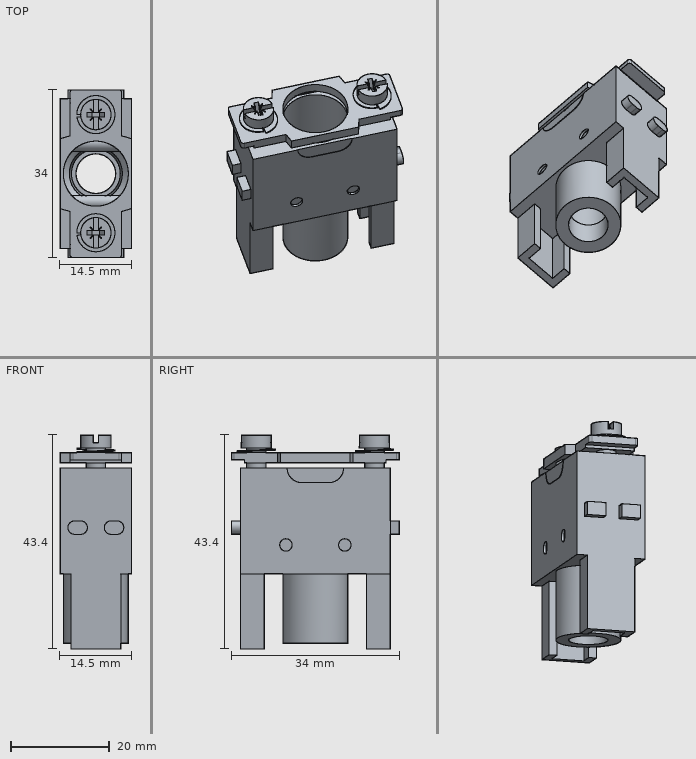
import cadquery as cq
import math

SLEEVE_BOTTOM = 1.15
BLOCK_BOTTOM = 15.25
BLOCK_TOP = 36.7
PLATE_BOTTOM = 37.7
PLATE_END_BOTTOM = 38.3
PLATE_TOP = 39.8
HEAD_BOTTOM = 40.7
HEAD_TOP = 43.35

BLOCK_X = 14.5
BLOCK_Y = 30.35
LEG_X = 10.1
LEG_Y = 4.85
LEG_GROOVE_X = 6.75
LEG_GROOVE_DEPTH = 3.3

BORE_RADIUS = 6.6
CONE_END_RADIUS = 5.38
TAPER_END_RADIUS = 4.95
OUTLET_RADIUS = 4.0
TAPER_DEPTH = 10.85

OVERALL_Y = 34.0
LUG_X = 3.95
LUG_Z = 2.75
LUG_SPACING = 7.35
LUG_HEIGHT = 24.62

RECESS_RADIUS = 3.0
RECESS_WIDTH = 11.45
RECESS_DEPTH = 0.1

PIN_RADIUS = 1.5
PIN_END_WALL = 0.5
PIN_HOLE_RADIUS = 1.25
PIN_SPACING = 11.9
PIN_HEIGHT = 21.1

PLATE_X = BLOCK_X
TONGUE_X = 10.4
SHOULDER_OUTER_Y = 7.05
SHOULDER_INNER_Y = 7.67
STEP_Y = 14.35
TONGUE_CORNER_RADIUS = 0.55

SCREW_SPACING = 23.95
SHANK_RADIUS = 2.0
SHANK_DEPTH = 8.65
HEAD_RADIUS = 3.08
SLOT_WIDTH = 1.05
SLOT_DEPTH = 1.5
CROSS_WIDTH = 0.9
CROSS_TOP_LENGTH = 3.5
CROSS_FLOOR_LENGTH = 1.55
CROSS_DEPTH = 2.12
FIN_WIDTH = 0.15
FIN_REACH = 1.6
FIN_DEPTH = 1.75

WASHER_INNER_RADIUS = 2.05
WASHER_OUTER_RADIUS = 3.85
WASHER_THICKNESS = 0.2
WASHER_RISE = HEAD_BOTTOM - PLATE_TOP - WASHER_THICKNESS
WASHER_GAP_ANGLE = 8.0

SCREW_PLACES = [-SCREW_SPACING / 2, SCREW_SPACING / 2]
PIN_PLACES = [-PIN_SPACING / 2, PIN_SPACING / 2]


def box(x_size, y_size, z_low, z_high):
    """Box centred on the Z axis between two heights."""
    return cq.Workplane("XY", origin=(0, 0, z_low)).rect(x_size, y_size).extrude(z_high - z_low)


def cylinder(radius, z_low, z_high, y=0.0):
    """Upright cylinder between two heights."""
    return cq.Workplane("XY", origin=(0, y, z_low)).circle(radius).extrude(z_high - z_low)


def cross_rod(radius, length, y):
    """Rod along X at the height of the cross pins."""
    return cq.Workplane("YZ", origin=(-length / 2, y, PIN_HEIGHT)).circle(radius).extrude(length)


def make_leg():
    """Leg at the +Y end, with a groove up its inner side."""
    outer_y = BLOCK_Y / 2
    inner_y = outer_y - LEG_Y
    leg = box(LEG_X, LEG_Y, 0, BLOCK_BOTTOM).translate((0, outer_y - LEG_Y / 2, 0))
    groove = box(LEG_GROOVE_X, LEG_GROOVE_DEPTH, 0, BLOCK_BOTTOM)
    return leg.cut(groove.translate((0, inner_y + LEG_GROOVE_DEPTH / 2, 0)))


def make_bore():
    """Bore: plain below the plate, conical under the pins, tapered, then a narrow outlet."""
    cone_top = PIN_HEIGHT - PIN_RADIUS
    cone_bottom = cone_top - (BORE_RADIUS - CONE_END_RADIUS)
    floor = cone_bottom - TAPER_DEPTH
    profile = [
        (0, SLEEVE_BOTTOM),
        (OUTLET_RADIUS, SLEEVE_BOTTOM),
        (OUTLET_RADIUS, floor),
        (TAPER_END_RADIUS, floor),
        (CONE_END_RADIUS, cone_bottom),
        (BORE_RADIUS, cone_top),
        (BORE_RADIUS, BLOCK_TOP),
        (0, BLOCK_TOP),
    ]
    return cq.Workplane("XZ").polyline(profile).close().revolve(360, (0, 0), (0, 1))


def make_lugs():
    """Two rounded lugs on the -Y face and two square lugs on the +Y face."""
    length = (OVERALL_Y - BLOCK_Y) / 2
    centres = [(-LUG_SPACING / 2, 0), (LUG_SPACING / 2, 0)]
    rounded_face = cq.Workplane("XZ", origin=(0, -BLOCK_Y / 2, LUG_HEIGHT))
    rounded = rounded_face.pushPoints(centres).slot2D(LUG_X, LUG_Z).extrude(length)
    square_face = cq.Workplane("XZ", origin=(0, BLOCK_Y / 2, LUG_HEIGHT))
    square = square_face.pushPoints(centres).rect(LUG_X, LUG_Z).extrude(-length)
    return rounded.add(square)


def make_face_recess():
    """Shallow recess on the -X face, open at the top, with quarter-round lower corners."""
    half_width = RECESS_WIDTH / 2
    half_floor = half_width - RECESS_RADIUS
    diagonal = RECESS_RADIUS * math.sqrt(0.5)
    return (
        cq.Workplane("YZ", origin=(-BLOCK_X / 2, 0, BLOCK_TOP))
        .moveTo(-half_width, 0)
        .threePointArc((-half_floor - diagonal, -diagonal), (-half_floor, -RECESS_RADIUS))
        .lineTo(half_floor, -RECESS_RADIUS)
        .threePointArc((half_floor + diagonal, -diagonal), (half_width, 0))
        .close()
        .extrude(RECESS_DEPTH)
    )


def make_housing():
    """Block with sleeve, legs and lugs, bored for the contact, the pins and the screws."""
    housing = box(BLOCK_X, BLOCK_Y, BLOCK_BOTTOM, BLOCK_TOP)
    housing = housing.union(cylinder(BORE_RADIUS, SLEEVE_BOTTOM, BLOCK_BOTTOM))
    leg = make_leg()
    housing = housing.union(leg).union(leg.mirror("XZ"))
    for lug in make_lugs().vals():
        housing = housing.union(cq.Workplane(lug))
    housing = housing.cut(make_bore())
    recess = make_face_recess()
    housing = housing.cut(recess).cut(recess.mirror("YZ"))
    for y in PIN_PLACES:
        housing = housing.cut(cross_rod(PIN_RADIUS, BLOCK_X - 2 * PIN_END_WALL, y))
        housing = housing.cut(cross_rod(PIN_HOLE_RADIUS, BLOCK_X, y))
    for y in SCREW_PLACES:
        housing = housing.cut(cylinder(SHANK_RADIUS, BLOCK_TOP - SHANK_DEPTH, BLOCK_TOP, y))
    return housing


def make_pin(y):
    """Plain cross pin filling its bore between the two end walls."""
    return cross_rod(PIN_RADIUS, BLOCK_X - 2 * PIN_END_WALL, y)


def make_plate():
    """Cover plate with a tongue at each end, a central opening and two screw holes."""
    thickness = PLATE_TOP - PLATE_BOTTOM
    outline = [
        (-PLATE_X / 2, -SHOULDER_OUTER_Y),
        (-TONGUE_X / 2, -SHOULDER_INNER_Y),
        (TONGUE_X / 2, -SHOULDER_INNER_Y),
        (PLATE_X / 2, -SHOULDER_OUTER_Y),
        (PLATE_X / 2, SHOULDER_OUTER_Y),
        (TONGUE_X / 2, SHOULDER_INNER_Y),
        (-TONGUE_X / 2, SHOULDER_INNER_Y),
        (-PLATE_X / 2, SHOULDER_OUTER_Y),
    ]
    middle = cq.Workplane("XY", origin=(0, 0, PLATE_BOTTOM))
    middle = middle.polyline(outline).close().extrude(thickness)
    tongue = box(TONGUE_X, OVERALL_Y, PLATE_END_BOTTOM, PLATE_TOP)
    tongue = tongue.edges("|Z").fillet(TONGUE_CORNER_RADIUS)
    thick_tongue = box(TONGUE_X, 2 * STEP_Y, PLATE_BOTTOM, PLATE_TOP)
    plate = middle.union(thick_tongue).union(tongue)
    plate = plate.cut(cylinder(BORE_RADIUS, PLATE_BOTTOM, PLATE_TOP))
    for y in SCREW_PLACES:
        plate = plate.cut(cylinder(SHANK_RADIUS, PLATE_BOTTOM, PLATE_TOP, y))
    return plate


def make_cross_recess():
    """Recess along X with sloping ends, crossing the driver slot."""
    profile = [
        (-CROSS_TOP_LENGTH / 2, HEAD_TOP),
        (-CROSS_FLOOR_LENGTH / 2, HEAD_TOP - CROSS_DEPTH),
        (CROSS_FLOOR_LENGTH / 2, HEAD_TOP - CROSS_DEPTH),
        (CROSS_TOP_LENGTH / 2, HEAD_TOP),
    ]
    return cq.Workplane("XZ").polyline(profile).close().extrude(CROSS_WIDTH / 2, both=True)


def make_fin_cut(angle):
    """Thin diagonal notch, deepest at the screw axis."""
    profile = [(-FIN_REACH, HEAD_TOP), (0, HEAD_TOP - FIN_DEPTH), (FIN_REACH, HEAD_TOP)]
    fin = cq.Workplane("XZ").polyline(profile).close().extrude(FIN_WIDTH / 2, both=True)
    return fin.rotate((0, 0, 0), (0, 0, 1), angle)


def make_screw(y):
    """Cheese-head screw with a full slot along Y and a cross recess."""
    screw = cylinder(HEAD_RADIUS, HEAD_BOTTOM, HEAD_TOP)
    screw = screw.union(cylinder(SHANK_RADIUS, BLOCK_TOP - SHANK_DEPTH, HEAD_BOTTOM))
    screw = screw.cut(box(SLOT_WIDTH, 2 * HEAD_RADIUS, HEAD_TOP - SLOT_DEPTH, HEAD_TOP))
    screw = screw.cut(make_cross_recess())
    for angle in (45, -45):
        screw = screw.cut(make_fin_cut(angle))
    return screw.translate((0, y, 0))


def make_washer(y):
    """Flat-section spring washer, climbing from the plate and split at the -X side."""
    width = WASHER_OUTER_RADIUS - WASHER_INNER_RADIUS
    section = cq.Workplane("XZ", origin=(WASHER_INNER_RADIUS, 0, 0))
    section = section.rect(width, WASHER_THICKNESS, centered=False)
    turn = (360 - WASHER_GAP_ANGLE) / 360
    path = cq.Wire.makeHelix(WASHER_RISE / turn, WASHER_RISE, WASHER_INNER_RADIUS)
    washer = section.sweep(cq.Workplane(path), isFrenet=True)
    washer = washer.rotate((0, 0, 0), (0, 0, 1), 180 + WASHER_GAP_ANGLE)
    return washer.translate((0, y, PLATE_TOP))


housing = make_housing()
plate = make_plate()
pins = [make_pin(y) for y in PIN_PLACES]
screws = [make_screw(y) for y in SCREW_PLACES]
washers = [make_washer(y) for y in SCREW_PLACES]

bodies = [housing, plate, *pins, *screws, *washers]
result = cq.Compound.makeCompound([body.val() for body in bodies])